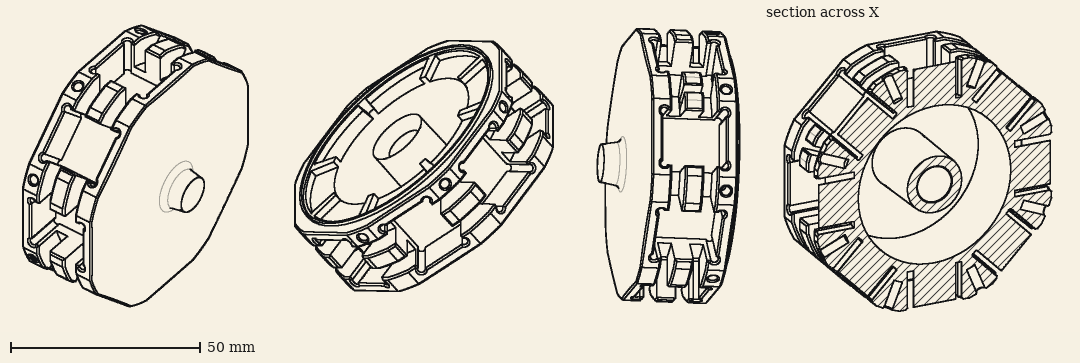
import cadquery as cq
import math

SIDES = 8
STEP = 360 / SIDES
ACROSS_FLATS = 69.0
CORNER_RADIUS = 36.0
TOTAL_LENGTH = 31.54

BODY_START = 1.0
BODY_LENGTH = 23.1
BODY_END = BODY_START + BODY_LENGTH
BODY_CENTRE = (BODY_START + BODY_END) / 2
EDGE_CHAMFER = 0.5

MIDDLE_RIB_WIDTH = 5.0
GROOVE_WIDTH = 3.6
CORE_RADIUS = 27.45

RIM_RADIUS = 31.8
COUNTERBORE_RADIUS = 31.2
COUNTERBORE_DEPTH = 0.8
SECTOR_RADIUS = 30.4
SECTOR_DEPTH = 2.0
SPOKE_ANGLE = 5.0
BORE_RADIUS = 22.4

CONE_ANGLE = math.radians(4)
CONE_RADIUS = ACROSS_FLATS / 2 - EDGE_CHAMFER
WALL = 1.8

TUBE_TIP_RADIUS = 8.05
TUBE_BASE_RADIUS = 8.42
TUBE_START = BODY_START
HOLE_RADIUS = 5.0
NOZZLE_TIP_RADIUS = 5.05
NOZZLE_ANGLE = math.radians(9)
NOZZLE_FILLET = 1.8

POCKET_WIDTH = 17.0
POCKET_HEIGHT = 15.0
POCKET_FLOOR = 23.7
RELIEF_RADIUS = 1.0
RELIEF_INSET = 0.4
POCKET_CHAMFER = 0.5

SCREW_RADIUS = 1.25
SCREW_X = 3.9
SCREW_DEPTH = 8.0
SCREW_CHAMFER = 0.4

NOTCH_WIDTH = 2.4
NOTCH_CHAMFER = 0.35
NOTCH_ANGLE = 1.5 * STEP

FLAT = ACROSS_FLATS / 2
MIDDLE_START = BODY_CENTRE - MIDDLE_RIB_WIDTH / 2
MIDDLE_END = BODY_CENTRE + MIDDLE_RIB_WIDTH / 2
SECTOR_FLOOR = COUNTERBORE_DEPTH + SECTOR_DEPTH


def cylinder(start, end, radius):
    """Round bar along X."""
    return cq.Workplane("YZ", origin=(start, 0, 0)).circle(radius).extrude(end - start)


def revolved(points):
    """Solid of revolution about X from (x, radius) points."""
    return cq.Workplane("XY").polyline(points).close().revolve(360, (0, 0, 0), (1, 0, 0))


def around_axis(shape, first_angle=0.0):
    """One copy of the shape for each side of the octagon."""
    copies = cq.Workplane("XY")
    for side in range(SIDES):
        turned = shape.rotate((0, 0, 0), (1, 0, 0), first_angle + side * STEP)
        copies = copies.add(turned.vals())
    return copies.combine()


def end_cone_x(radius):
    """X of the sloping outer end face at a given radius."""
    return BODY_END + (CONE_RADIUS - radius) * math.tan(CONE_ANGLE)


def octagonal_rib(start, end, end_chamfer=EDGE_CHAMFER):
    """Octagon with rounded corners and chamfered edges on both faces."""
    vertex_circle = ACROSS_FLATS / math.cos(math.pi / SIDES)
    octagon = (
        cq.Workplane("YZ", origin=(start, 0, 0))
        .transformed(rotate=(0, 0, STEP / 2))
        .polygon(SIDES, vertex_circle)
        .extrude(end - start)
    )
    rounded = octagon.intersect(cylinder(start, end, CORNER_RADIUS))
    return rounded.faces("<X").chamfer(EDGE_CHAMFER).faces(">X").chamfer(end_chamfer)


def make_body():
    """Core, three octagonal ribs and rim, closed by the sloping end wall."""
    body = cylinder(BODY_START, end_cone_x(0), CORE_RADIUS)
    body = body.union(cylinder(0, SECTOR_FLOOR, RIM_RADIUS))
    body = body.union(octagonal_rib(BODY_START, MIDDLE_START - GROOVE_WIDTH))
    body = body.union(octagonal_rib(MIDDLE_START, MIDDLE_END))
    last_rib_end = end_cone_x(CORE_RADIUS)
    last_chamfer = EDGE_CHAMFER + last_rib_end - BODY_END
    body = body.union(octagonal_rib(MIDDLE_END + GROOVE_WIDTH, last_rib_end, last_chamfer))
    envelope = revolved([
        (0, 0),
        (0, CORNER_RADIUS),
        (end_cone_x(CORNER_RADIUS), CORNER_RADIUS),
        (end_cone_x(0), 0),
    ])
    return body.intersect(envelope)


def make_cavity():
    """Counterbore, spoked recess and deep bore with a sloping floor."""
    counterbore = cylinder(0, COUNTERBORE_DEPTH, COUNTERBORE_RADIUS)
    recess = cylinder(COUNTERBORE_DEPTH, SECTOR_FLOOR, SECTOR_RADIUS)
    spoke_half_width = CORNER_RADIUS * math.tan(math.radians(SPOKE_ANGLE / 2))
    spoke = (
        cq.Workplane("YZ", origin=(COUNTERBORE_DEPTH, 0, 0))
        .polyline([(0, 0), (-spoke_half_width, CORNER_RADIUS), (spoke_half_width, CORNER_RADIUS)])
        .close()
        .extrude(SECTOR_DEPTH)
    )
    recess = recess.cut(around_axis(spoke, STEP / 2))
    bore = revolved([
        (0, 0),
        (0, BORE_RADIUS),
        (end_cone_x(BORE_RADIUS) - WALL, BORE_RADIUS),
        (end_cone_x(0) - WALL, 0),
    ])
    return counterbore.union(recess).union(bore)


def make_tube():
    """Drafted inner tube, rooted inside the end wall."""
    root_x = end_cone_x(TUBE_BASE_RADIUS) - WALL / 2
    return revolved([
        (TUBE_START, 0),
        (TUBE_START, TUBE_TIP_RADIUS),
        (root_x, TUBE_BASE_RADIUS),
        (root_x, 0),
    ])


def make_nozzle():
    """Tapered outer nozzle, rooted inside the end wall."""
    root_x = end_cone_x(0) - WALL / 2
    root_radius = NOZZLE_TIP_RADIUS + (TOTAL_LENGTH - root_x) * math.tan(NOZZLE_ANGLE)
    return revolved([
        (root_x, 0),
        (root_x, root_radius),
        (TOTAL_LENGTH, NOZZLE_TIP_RADIUS),
        (TOTAL_LENGTH, 0),
    ])


def make_through_hole():
    """Straight hole with a 45 degree lead-in that reaches the tube's edge."""
    lead_in = TUBE_TIP_RADIUS - HOLE_RADIUS
    return revolved([
        (TUBE_START, 0),
        (TUBE_START, TUBE_TIP_RADIUS),
        (TUBE_START + lead_in, HOLE_RADIUS),
        (TOTAL_LENGTH, HOLE_RADIUS),
        (TOTAL_LENGTH, 0),
    ])


def pocket_prism(bottom, top, growth):
    """Rectangle with round corner reliefs, grown outward all round."""
    plane = cq.Workplane("XY", origin=(BODY_CENTRE, 0, bottom))
    prism = plane.rect(POCKET_WIDTH + 2 * growth, POCKET_HEIGHT + 2 * growth).extrude(top - bottom)
    reliefs = (
        plane.rect(POCKET_WIDTH - 2 * RELIEF_INSET, POCKET_HEIGHT - 2 * RELIEF_INSET, forConstruction=True)
        .vertices()
        .circle(RELIEF_RADIUS + growth)
        .extrude(top - bottom)
    )
    return prism.union(reliefs)


def make_pocket():
    """Pocket for one flat, with a chamfered mouth."""
    straight = pocket_prism(POCKET_FLOOR, FLAT, 0)
    mouth = pocket_prism(FLAT - POCKET_CHAMFER, FLAT + POCKET_CHAMFER, POCKET_CHAMFER)
    mouth = mouth.faces("<Z").chamfer(POCKET_CHAMFER)
    return straight.union(mouth)


def make_screw_hole():
    """Blind radial hole with a countersunk mouth."""
    bottom = CORNER_RADIUS - SCREW_DEPTH
    mouth = SCREW_RADIUS + SCREW_CHAMFER
    profile = [
        (0, bottom),
        (SCREW_RADIUS, bottom),
        (SCREW_RADIUS, CORNER_RADIUS - SCREW_CHAMFER),
        (mouth, CORNER_RADIUS),
        (0, CORNER_RADIUS),
    ]
    hole = cq.Workplane("XZ").polyline(profile).close().revolve(360, (0, 0, 0), (0, 1, 0))
    return hole.translate((SCREW_X, 0, 0))


def make_notch():
    """Radial notch through the middle rib down to the groove bottom, with chamfered lips."""
    half = NOTCH_WIDTH / 2
    lip = CORNER_RADIUS - NOTCH_CHAMFER
    outline = [
        (-half, CORE_RADIUS),
        (half, CORE_RADIUS),
        (half, lip),
        (half + NOTCH_CHAMFER, CORNER_RADIUS),
        (-half - NOTCH_CHAMFER, CORNER_RADIUS),
        (-half, lip),
    ]
    plane = cq.Workplane("YZ", origin=(MIDDLE_START, 0, 0))
    notch = plane.polyline(outline).close().extrude(MIDDLE_RIB_WIDTH)
    return notch.rotate((0, 0, 0), (1, 0, 0), -NOTCH_ANGLE)


def add_nozzle(body):
    """Join the nozzle to the end wall and round the circle where they meet."""
    joined = body.union(make_nozzle())
    root_zone = cq.selectors.BoxSelector(
        (BODY_END + EDGE_CHAMFER, -BORE_RADIUS, -BORE_RADIUS),
        (TOTAL_LENGTH - NOZZLE_FILLET, BORE_RADIUS, BORE_RADIUS),
    )
    return joined.edges(root_zone).edges("%CIRCLE").fillet(NOZZLE_FILLET)


result = add_nozzle(make_body())
result = result.cut(make_cavity())
result = result.union(make_tube())
result = result.cut(make_through_hole())
result = result.cut(around_axis(make_pocket()))
result = result.cut(around_axis(make_screw_hole(), STEP / 2))
result = result.cut(make_notch())